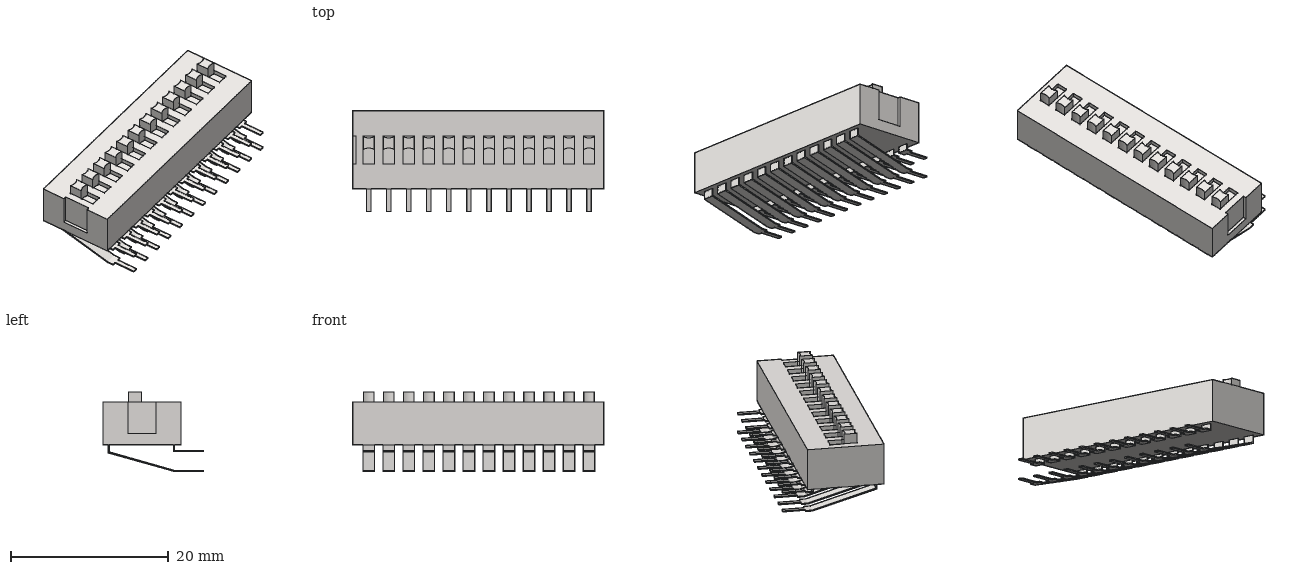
import cadquery as cq

OVERALL_DEPTH = 12.8
OVERALL_HEIGHT = 10.12

BODY_LENGTH = 31.84
BODY_DEPTH = 9.92
BODY_HEIGHT = 5.44
BODY_BACK = BODY_DEPTH / 2
BODY_FRONT = -BODY_DEPTH / 2

SWITCH_COUNT = 12
PITCH = 2.54
ROW_SHIFT = 0.08

SLOT_WIDTH = 1.43
SLOT_LENGTH = 3.57
SLOT_DEPTH = 0.6
SLOT_INSET = 3.19
SLOT_BACK = BODY_BACK - SLOT_INSET
SLOT_FRONT = SLOT_BACK - SLOT_LENGTH

END_RECESS_DEPTH = 0.4
END_RECESS_HEIGHT = 4.02

SLIDER_WIDTH = 1.38
SLIDER_LENGTH = 1.67
SLIDER_RISE = 1.28
SLIDER_HOLLOW = 0.2
SLIDER_BACK_GAP = 0.07

LEAD_THICKNESS = 0.15
LEAD_WIDTH = 1.5
TIP_WIDTH = 0.6
TIP_END = BODY_BACK - OVERALL_DEPTH
FRONT_LEAD_INSET = 0.82
FRONT_LEAD_Y = BODY_FRONT + FRONT_LEAD_INSET
FRONT_LEAD_DROP = 0.85
BACK_LEAD_INSET = 0.69
BACK_LEAD_Y = BODY_BACK - BACK_LEAD_INSET
BACK_LEAD_DROP = 1.05
BACK_LEAD_BOTTOM = OVERALL_HEIGHT - BODY_HEIGHT - SLIDER_RISE
LEAD_BEND_Y = FRONT_LEAD_Y


def block(x_min, x_max, y_min, y_max, z_min, z_max):
    """Box between the given limits."""
    size = (x_max - x_min, y_max - y_min, z_max - z_min)
    return cq.Workplane("XY").box(*size, centered=False).translate((x_min, y_min, z_min))


def strip(outline, x, width):
    """Extrude a (Y, Z) outline along X, centred at x."""
    sheet = cq.Workplane("YZ").polyline(outline).close().extrude(width / 2, both=True)
    return sheet.translate((x, 0, 0))


def slot(x):
    half = SLOT_WIDTH / 2
    return block(x - half, x + half, SLOT_FRONT, SLOT_BACK, BODY_HEIGHT - SLOT_DEPTH, BODY_HEIGHT)


def end_recess():
    left = -BODY_LENGTH / 2
    floor = BODY_HEIGHT - END_RECESS_HEIGHT
    return block(left, left + END_RECESS_DEPTH, SLOT_FRONT, SLOT_BACK, floor, BODY_HEIGHT)


def slider(x):
    left = x - SLIDER_WIDTH / 2
    right = x + SLIDER_WIDTH / 2
    back = SLOT_BACK - SLIDER_BACK_GAP
    front = back - SLIDER_LENGTH
    return (
        cq.Workplane("XY", origin=(0, 0, BODY_HEIGHT - SLOT_DEPTH))
        .moveTo(left, front)
        .threePointArc((x, front + SLIDER_HOLLOW), (right, front))
        .lineTo(right, back)
        .threePointArc((x, back - SLIDER_HOLLOW), (left, back))
        .close()
        .extrude(SLOT_DEPTH + SLIDER_RISE)
    )


def lead_tip(x, bottom):
    half = TIP_WIDTH / 2
    return block(x - half, x + half, TIP_END, BODY_FRONT, bottom, bottom + LEAD_THICKNESS)


def front_lead(x):
    """Short lead: drops from the housing and turns forward."""
    bottom = -FRONT_LEAD_DROP
    shoulder = bottom + LEAD_THICKNESS
    drop_back = FRONT_LEAD_Y + LEAD_THICKNESS
    outline = [
        (FRONT_LEAD_Y, 0),
        (FRONT_LEAD_Y, shoulder),
        (BODY_FRONT, shoulder),
        (BODY_FRONT, bottom),
        (drop_back, bottom),
        (drop_back, 0),
    ]
    return strip(outline, x, LEAD_WIDTH).union(lead_tip(x, bottom))


def back_lead(x):
    """Long lead: drops, slopes down under the housing, then runs level."""
    bottom = -BACK_LEAD_BOTTOM
    shoulder = bottom + LEAD_THICKNESS
    drop_front = BACK_LEAD_Y - LEAD_THICKNESS
    outline = [
        (BACK_LEAD_Y, 0),
        (BACK_LEAD_Y, -BACK_LEAD_DROP),
        (LEAD_BEND_Y, bottom),
        (BODY_FRONT, bottom),
        (BODY_FRONT, shoulder),
        (LEAD_BEND_Y, shoulder),
        (drop_front, LEAD_THICKNESS - BACK_LEAD_DROP),
        (drop_front, 0),
    ]
    return strip(outline, x, LEAD_WIDTH).union(lead_tip(x, bottom))


first_x = ROW_SHIFT - (SWITCH_COUNT - 1) * PITCH / 2
switch_positions = [first_x + i * PITCH for i in range(SWITCH_COUNT)]

result = block(-BODY_LENGTH / 2, BODY_LENGTH / 2, BODY_FRONT, BODY_BACK, 0, BODY_HEIGHT)
result = result.cut(end_recess())
for switch_x in switch_positions:
    result = result.cut(slot(switch_x))
    result = result.union(slider(switch_x))
    result = result.union(front_lead(switch_x))
    result = result.union(back_lead(switch_x))